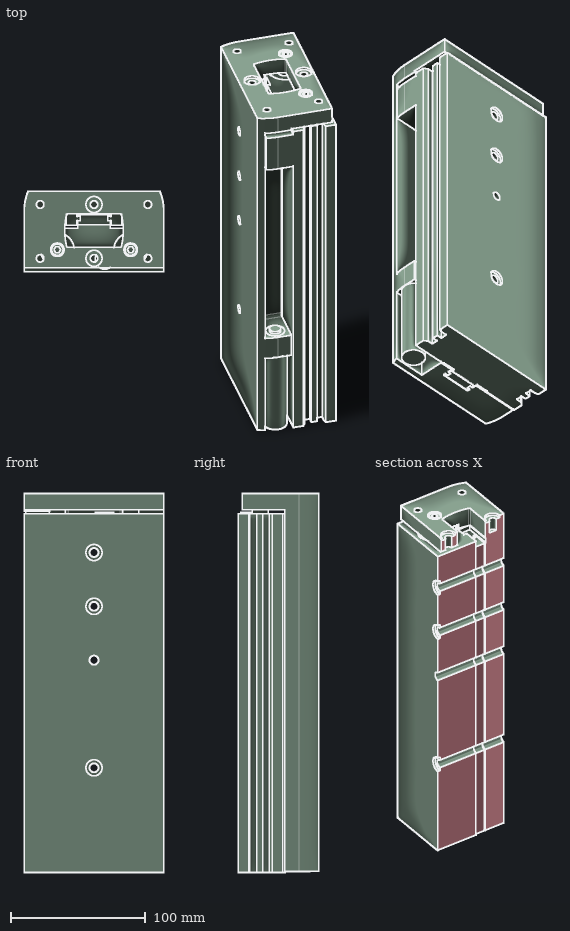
import cadquery as cq

WIDTH = 104.0
DEPTH = 60.0
HEIGHT = 281.8
HALF_WIDTH = WIDTH / 2
BACK_Y = DEPTH / 2
FRONT_Y = -DEPTH / 2
MARGIN = 5.0

PLATE_THICKNESS = 12.3
PLATE_FRONT_Y = -27.0
PLATE_BOTTOM_Z = HEIGHT - PLATE_THICKNESS
TABLE_FOOT_Z = 0.9
TABLE_FRONT_Y = 4.5
CORNER_START_Y = 15.0
CORNER_RADIUS = 39.0

CAVITY_BACK_Y = 24.5
CAVITY_INNER_X = -24.0
CAVITY_TOP_Z = HEIGHT - 13.3
CAVITY_FILLET = 2.2
STOP_BLOCK_TOP_Z = 83.6
STOP_BLOCK_BOTTOM_Z = 65.6

WINDOW_Y = 0.6
WINDOW_HALF_HEIGHT = 12.5
WINDOW_CORNER_X = 20.2
WINDOW_CORNER_RADIUS = 1.2
WINDOW_BULGE_X = 21.8
RECESS_HALF_WIDTH = 20.5
RECESS_BACK_Y = 13.6
RECESS_TOP_Z = HEIGHT - 15.8

PLATE_HOLE_PITCH_X = 80.0
PLATE_HOLE_PITCH_Y = 40.0
PLATE_CORNER_HOLE = 5.6
PLATE_MIDDLE_HOLE = 5.5
COUNTERBORE = 12.0
COUNTERBORE_DEPTH = 2.0

RAIL_HALF_WIDTH = 12.2
RAIL_SIDE_GAP = 0.5
RAIL_FRONT_Y = 4.9
RAIL_BACK_Y = 12.7
RAIL_CHANNEL_Y = WINDOW_Y + WINDOW_HALF_HEIGHT
RAIL_TOP_Z = HEIGHT - 20.0
RAIL_GROOVE_Y = 9.6
RAIL_GROOVE_WIDTH = 3.0
RAIL_GROOVE_DEPTH = 2.0

PLUG_X = 7.8
PLUG_Y = -21.1
PLUG_DIAMETER = 14.0
PLUG_HEIGHT = 1.2

BASE_TOP_Z = HEIGHT - 15.1
BASE_BACK_Y = 3.1
RELIEF_Y = 2.4
RELIEF_HALF_WIDTH = 22.5
FLANK_BREAK_Y = -4.7
LIP_X = 48.9
SLOT_WIDTH = 5.0
SLOT_FLOOR_X = 44.5
UPPER_SLOT_Y = -9.2
LOWER_SLOT_Y = -18.8
FOOT_SLOPE_Y = -22.1
GUIDE_BLOCK_BACK_Y = 23.6
GUIDE_BLOCK_TOP_Z = HEIGHT - 17.8
GUIDE_BLOCK_BOTTOM_Z = HEIGHT - 46.4
GUIDE_BLOCK_SIDE_GAP = 0.5

THROUGH_HOLE = 6.5
PLAIN_HOLE = 6.65
COUNTERBORED_HOLE_Z = [HEIGHT - drop for drop in (44.0, 84.0, 204.0)]
PLAIN_HOLE_Z = HEIGHT - 124.0

ROD_X = 27.25
ROD_Y = -13.6
ROD_DIAMETER = 12.0
ROD_DEPTH = 60.0
GLAND_DIAMETER = 25.0
GLAND_DEPTH = 1.0
SCREW_SHANK = 5.5
SCREW_HEAD = 8.5
SCREW_HEAD_HEIGHT = 6.0
SCREW_HEAD_DROP = 0.6
SCREW_POCKET = 10.0
SCREW_POCKET_DEPTH = SCREW_HEAD_DROP + SCREW_HEAD_HEIGHT
HEX_ACROSS_CORNERS = 4.92
HEX_DEPTH = 3.0

STOP_X = -43.0
STOP_Y = 14.5
STOP_BODY = 17.6
STOP_SHANK = 14.0
STOP_TIP = 8.5
STOP_TIP_HEIGHT = 2.0
STOP_FOOT_Z = 0.4


def box_between(x0, x1, y0, y1, z0, z1):
    return cq.Workplane("XY").box(x1 - x0, y1 - y0, z1 - z0, centered=False).translate((x0, y0, z0))


def upright_cylinder(x, y, diameter, z0, z1):
    return cq.Workplane("XY", origin=(x, y, z0)).circle(diameter / 2).extrude(z1 - z0)


def front_hole(z, diameter):
    """Cylinder along Y that runs through the whole depth."""
    plane = cq.Workplane("XZ", origin=(0, BACK_Y + MARGIN, z))
    return plane.circle(diameter / 2).extrude(DEPTH + 2 * MARGIN)


def through_holes():
    holes = front_hole(PLAIN_HOLE_Z, PLAIN_HOLE)
    for z in COUNTERBORED_HOLE_Z:
        holes = holes.union(front_hole(z, THROUGH_HOLE))
    return holes


def table_outline(z0, z1):
    """Block of the table's outline: straight flanks that curve in towards the back."""
    rise = BACK_Y - CORNER_START_Y
    half_rise = rise / 2
    end_inset = CORNER_RADIUS - (CORNER_RADIUS**2 - rise**2) ** 0.5
    middle_inset = CORNER_RADIUS - (CORNER_RADIUS**2 - half_rise**2) ** 0.5
    middle_y = CORNER_START_Y + half_rise
    return (
        cq.Workplane("XY", origin=(0, 0, z0))
        .moveTo(-HALF_WIDTH, PLATE_FRONT_Y)
        .lineTo(HALF_WIDTH, PLATE_FRONT_Y)
        .lineTo(HALF_WIDTH, CORNER_START_Y)
        .threePointArc((HALF_WIDTH - middle_inset, middle_y), (HALF_WIDTH - end_inset, BACK_Y))
        .lineTo(end_inset - HALF_WIDTH, BACK_Y)
        .threePointArc((middle_inset - HALF_WIDTH, middle_y), (-HALF_WIDTH, CORNER_START_Y))
        .close()
        .extrude(z1 - z0)
    )


def plate_window():
    top_y = WINDOW_Y + WINDOW_HALF_HEIGHT
    bottom_y = WINDOW_Y - WINDOW_HALF_HEIGHT
    return (
        cq.Workplane("XY", origin=(0, 0, RECESS_TOP_Z))
        .moveTo(-WINDOW_CORNER_X, bottom_y)
        .lineTo(WINDOW_CORNER_X, bottom_y)
        .threePointArc((WINDOW_BULGE_X, WINDOW_Y), (WINDOW_CORNER_X, top_y))
        .lineTo(-WINDOW_CORNER_X, top_y)
        .threePointArc((-WINDOW_BULGE_X, WINDOW_Y), (-WINDOW_CORNER_X, bottom_y))
        .close()
        .extrude(HEIGHT - RECESS_TOP_Z)
        .edges("|Z")
        .fillet(WINDOW_CORNER_RADIUS)
    )


def plate_holes():
    """Corner holes, counterbored middle holes and the stepped holes of the rod screws."""
    holes = cq.Workplane("XY")
    pocket_floor_z = HEIGHT - SCREW_POCKET_DEPTH
    for y in (-PLATE_HOLE_PITCH_Y / 2, PLATE_HOLE_PITCH_Y / 2):
        for x in (-PLATE_HOLE_PITCH_X / 2, PLATE_HOLE_PITCH_X / 2):
            holes = holes.union(upright_cylinder(x, y, PLATE_CORNER_HOLE, PLATE_BOTTOM_Z, HEIGHT))
        holes = holes.union(upright_cylinder(0, y, PLATE_MIDDLE_HOLE, PLATE_BOTTOM_Z, HEIGHT))
        holes = holes.union(upright_cylinder(0, y, COUNTERBORE, HEIGHT - COUNTERBORE_DEPTH, HEIGHT))
    for x in (-ROD_X, ROD_X):
        holes = holes.union(upright_cylinder(x, ROD_Y, SCREW_SHANK, PLATE_BOTTOM_Z, HEIGHT))
        holes = holes.union(upright_cylinder(x, ROD_Y, SCREW_POCKET, pocket_floor_z, HEIGHT))
    return holes


def rail_strips(outer_x):
    """Pair of strips from the floors of the rail grooves out to outer_x on each side."""
    inner_x = RAIL_HALF_WIDTH - RAIL_GROOVE_DEPTH
    y0 = RAIL_GROOVE_Y - RAIL_GROOVE_WIDTH / 2
    y1 = RAIL_GROOVE_Y + RAIL_GROOVE_WIDTH / 2
    left = box_between(-outer_x, -inner_x, y0, y1, TABLE_FOOT_Z, RAIL_TOP_Z)
    right = box_between(inner_x, outer_x, y0, y1, TABLE_FOOT_Z, RAIL_TOP_Z)
    return left.union(right)


def make_table():
    plate = table_outline(PLATE_BOTTOM_Z, HEIGHT)
    slab = table_outline(TABLE_FOOT_Z, PLATE_BOTTOM_Z).intersect(
        box_between(-HALF_WIDTH, HALF_WIDTH, TABLE_FRONT_Y, BACK_Y, TABLE_FOOT_Z, PLATE_BOTTOM_Z)
    )
    outside_x = -HALF_WIDTH - MARGIN
    stroke_cavity = box_between(
        outside_x, CAVITY_INNER_X, TABLE_FRONT_Y - MARGIN, CAVITY_BACK_Y, STOP_BLOCK_TOP_Z, CAVITY_TOP_Z
    )
    stroke_cavity = stroke_cavity.faces(">X").edges("|Y").fillet(CAVITY_FILLET)
    stop_cavity = box_between(
        outside_x, CAVITY_INNER_X, TABLE_FRONT_Y - MARGIN, CAVITY_BACK_Y, 0, STOP_BLOCK_BOTTOM_Z
    )
    channel_x = RAIL_HALF_WIDTH + RAIL_SIDE_GAP
    channel = box_between(
        -channel_x, channel_x, TABLE_FRONT_Y - MARGIN, RAIL_CHANNEL_Y, 0, RAIL_TOP_Z
    )
    channel = channel.cut(rail_strips(channel_x))
    window_recess = box_between(
        -RECESS_HALF_WIDTH, RECESS_HALF_WIDTH,
        TABLE_FRONT_Y - MARGIN, RECESS_BACK_Y,
        RAIL_TOP_Z, RECESS_TOP_Z,
    )
    stop_hole = upright_cylinder(STOP_X, STOP_Y, STOP_SHANK, STOP_BLOCK_BOTTOM_Z, STOP_BLOCK_TOP_Z)
    table = plate.union(slab.cut(stroke_cavity).cut(window_recess).cut(channel))
    for cutter in (stop_cavity, stop_hole, plate_window(), plate_holes(), through_holes()):
        table = table.cut(cutter)
    return table


def sensor_slots(side):
    """The two slots in one flank of the base; side is -1 or +1."""
    slots = cq.Workplane("XY")
    length_x = HALF_WIDTH - SLOT_FLOOR_X
    for y in (UPPER_SLOT_Y, LOWER_SLOT_Y):
        slot = cq.Workplane("XY").box(length_x, SLOT_WIDTH, BASE_TOP_Z, centered=(True, True, False))
        slots = slots.union(slot.translate((side * (SLOT_FLOOR_X + length_x / 2), y, 0)))
    return slots


def make_base():
    slot_top_y = UPPER_SLOT_Y + SLOT_WIDTH / 2
    slot_bottom_y = LOWER_SLOT_Y - SLOT_WIDTH / 2
    right_flank = [
        (HALF_WIDTH, FRONT_Y),
        (HALF_WIDTH, FOOT_SLOPE_Y),
        (LIP_X, slot_bottom_y),
        (LIP_X, slot_top_y),
        (HALF_WIDTH, FLANK_BREAK_Y),
        (HALF_WIDTH, BASE_BACK_Y),
    ]
    left_flank = [(-x, y) for x, y in reversed(right_flank)]
    base = cq.Workplane("XY").polyline(right_flank + left_flank).close().extrude(BASE_TOP_Z)
    for side in (-1, 1):
        base = base.cut(sensor_slots(side))

    relief = box_between(
        -RELIEF_HALF_WIDTH, RELIEF_HALF_WIDTH, RELIEF_Y, BASE_BACK_Y, 0, BASE_TOP_Z
    )
    rail_pad = box_between(
        -RAIL_HALF_WIDTH, RAIL_HALF_WIDTH, RELIEF_Y, RAIL_FRONT_Y, 0, BASE_TOP_Z
    )
    guide_block = table_outline(GUIDE_BLOCK_BOTTOM_Z, GUIDE_BLOCK_TOP_Z).intersect(
        box_between(
            -HALF_WIDTH, CAVITY_INNER_X - GUIDE_BLOCK_SIDE_GAP,
            BASE_BACK_Y, GUIDE_BLOCK_BACK_Y,
            GUIDE_BLOCK_BOTTOM_Z, GUIDE_BLOCK_TOP_Z,
        )
    )
    plug = upright_cylinder(PLUG_X, PLUG_Y, PLUG_DIAMETER, BASE_TOP_Z, BASE_TOP_Z + PLUG_HEIGHT)
    base = base.cut(relief).union(rail_pad).union(guide_block).union(plug)

    for x in (-ROD_X, ROD_X):
        base = base.cut(upright_cylinder(x, ROD_Y, ROD_DIAMETER, BASE_TOP_Z - ROD_DEPTH, BASE_TOP_Z))
        base = base.cut(upright_cylinder(x, ROD_Y, GLAND_DIAMETER, BASE_TOP_Z - GLAND_DEPTH, BASE_TOP_Z))
    for z in COUNTERBORED_HOLE_Z:
        counterbore = cq.Workplane("XZ", origin=(0, FRONT_Y + COUNTERBORE_DEPTH, z))
        base = base.cut(counterbore.circle(COUNTERBORE / 2).extrude(COUNTERBORE_DEPTH))
    return base.cut(through_holes())


def make_rail():
    rail = box_between(
        -RAIL_HALF_WIDTH, RAIL_HALF_WIDTH, RAIL_FRONT_Y, RAIL_BACK_Y, TABLE_FOOT_Z, RAIL_TOP_Z
    )
    return rail.cut(rail_strips(RAIL_HALF_WIDTH)).cut(through_holes())


def make_rod(x):
    """Piston rod with the hexagon socket screw that holds it to the end plate."""
    head_top_z = HEIGHT - SCREW_HEAD_DROP
    head_bottom_z = HEIGHT - SCREW_POCKET_DEPTH
    rod = upright_cylinder(x, ROD_Y, ROD_DIAMETER, BASE_TOP_Z - ROD_DEPTH, PLATE_BOTTOM_Z)
    rod = rod.union(upright_cylinder(x, ROD_Y, SCREW_SHANK, PLATE_BOTTOM_Z, head_bottom_z))
    rod = rod.union(upright_cylinder(x, ROD_Y, SCREW_HEAD, head_bottom_z, head_top_z))
    socket = cq.Workplane("XY", origin=(x, ROD_Y, head_top_z - HEX_DEPTH))
    return rod.cut(socket.polygon(6, HEX_ACROSS_CORNERS).extrude(HEX_DEPTH))


def make_stop_bolt():
    tip_top_z = STOP_BLOCK_TOP_Z + STOP_TIP_HEIGHT
    bolt = upright_cylinder(STOP_X, STOP_Y, STOP_BODY, STOP_FOOT_Z, STOP_BLOCK_BOTTOM_Z)
    bolt = bolt.union(
        upright_cylinder(STOP_X, STOP_Y, STOP_SHANK, STOP_BLOCK_BOTTOM_Z, STOP_BLOCK_TOP_Z)
    )
    return bolt.union(upright_cylinder(STOP_X, STOP_Y, STOP_TIP, STOP_BLOCK_TOP_Z, tip_top_z))


table = make_table()
base = make_base()
rail = make_rail()
stop_bolt = make_stop_bolt()
rods = [make_rod(x) for x in (-ROD_X, ROD_X)]

result = cq.Compound.makeCompound(
    [table.val(), base.val(), rail.val(), stop_bolt.val(), *[rod.val() for rod in rods]]
)